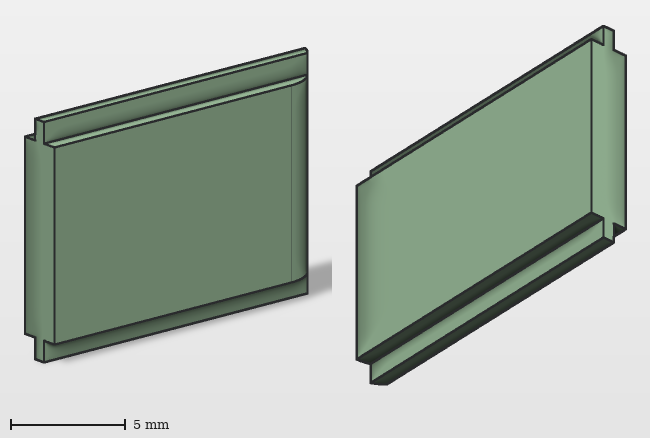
import cadquery as cq

thickness = 2.0
length = 15.55
height = 11.04

tongue_height = 1.0
tongue_thickness = 0.6

nose_radius = thickness
body_height = height - 2 * tongue_height


def make_plan(plan_height):
    """Full-length slab with one rounded end, centred on the origin in Z."""
    left = -thickness / 2
    right = thickness / 2
    front = -length / 2
    back = length / 2
    return (
        cq.Workplane("XY")
        .workplane(offset=-plan_height / 2)
        .moveTo(left, front)
        .lineTo(right, front)
        .lineTo(right, back - nose_radius)
        .radiusArc((left, back), -nose_radius)
        .close()
        .extrude(plan_height)
    )


body = make_plan(body_height)
web = cq.Workplane("XY").box(tongue_thickness, length, height)
tongues = make_plan(height).intersect(web)

result = body.union(tongues)